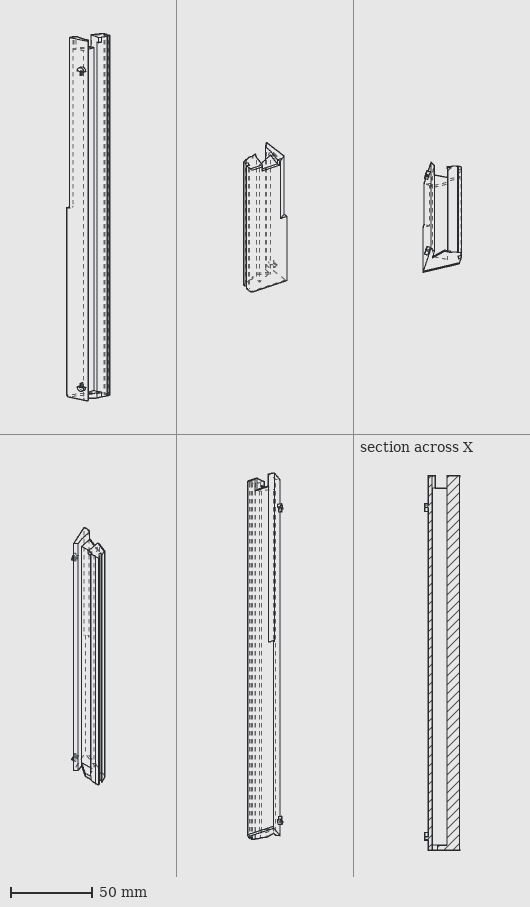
import cadquery as cq

LENGTH = 230.7
WIDTH = 19.1
BODY_DEPTH = 19.5

WEB_TOP_X = 12.0
WEB_SLOPE = WEB_TOP_X / BODY_DEPTH

WALL_FALL = 0.26
PLATE_WALL_Y = 4.8
FLANGE_WALL_Y = 13.1
WEB_INNER_PLATE_X = 10.8
WEB_INNER_FLANGE_X = 12.0
PLATE_WIDTH = 16.4
PLATE_SHOULDER = (15.0, 2.5)
FLANGE_END_X = 14.8

FLANGE_NOSE_MID = (17.5, 12.7)
FLANGE_NOSE_END = (18.7, 16.4)
LIP_BOTTOM = (WIDTH, 16.8)
LIP_TOP = (WIDTH, 19.0)
BACK_GROOVE = [(18.0, 19.0), (16.4, 17.5), (15.0, 18.2), (16.4, BODY_DEPTH)]
BACK_CORNER_RADIUS = 1.0

SLOT_DEPTH = 7.5
EDGE_CHAMFER = 1.0
TAB_HEIGHT = 3.2
TAB_TIP = (16.8, 10.2)
CAP_HEIGHT = 3.2
CAP_CORNER = (17.0, 8.5)

RELIEF_X = 2.2
RELIEF_START_Z = 121.3

PEG_X = 12.2
PEG_RADIUS = 2.5
PEG_HEIGHT = 2.0
PEG_RIB_WIDTH = 0.7
LOWER_PEG_Z = 8.5
UPPER_PEG_Z = 211.0


def web_x(y):
    """X of the slanted outer face at a given Y."""
    return WEB_SLOPE * y


def wall_point(wall_y, x):
    """Point on the inner wall that meets the slanted face at wall_y."""
    return (x, wall_y - WALL_FALL * (x - web_x(wall_y)))


def prism(points, bottom, height):
    return cq.Workplane("XY").workplane(offset=bottom).polyline(points).close().extrude(height)


plate_root = wall_point(PLATE_WALL_Y, WEB_INNER_PLATE_X)
flange_root = wall_point(FLANGE_WALL_Y, WEB_INNER_FLANGE_X)
flange_end = wall_point(FLANGE_WALL_Y, FLANGE_END_X)


def make_channel():
    outline = [(0, 0), (PLATE_WIDTH, 0), PLATE_SHOULDER, plate_root, flange_root, flange_end]
    profile = (
        cq.Workplane("XY")
        .polyline(outline)
        .threePointArc(FLANGE_NOSE_MID, FLANGE_NOSE_END)
        .lineTo(*LIP_BOTTOM)
        .lineTo(*LIP_TOP)
        .polyline(BACK_GROOVE, includeCurrent=True)
        .lineTo(WEB_TOP_X, BODY_DEPTH)
        .close()
    )
    return profile.extrude(LENGTH)


def round_back_corner(body):
    """Round the long back edge of the slanted face."""
    back_edge = cq.selectors.NearestToPointSelector((WEB_TOP_X, BODY_DEPTH, LENGTH / 2))
    return body.edges(back_edge).fillet(BACK_CORNER_RADIUS)


def make_slot():
    """Opening through the web at the top, flush with both channel walls."""
    outline = [
        (web_x(PLATE_WALL_Y), PLATE_WALL_Y),
        plate_root,
        flange_root,
        (web_x(FLANGE_WALL_Y), FLANGE_WALL_Y),
    ]
    return prism(outline, LENGTH - SLOT_DEPTH, SLOT_DEPTH)


def chamfer_slanted_face(body):
    """Bevel the end edges and slot rim of the slanted face, but not its long sides."""
    normal = cq.Vector(-BODY_DEPTH, WEB_TOP_X, 0).normalized()
    edges = body.faces(cq.selectors.DirectionMinMaxSelector(normal)).edges()
    short = edges.filter(lambda edge: edge.Length() < LENGTH / 2)
    return short.chamfer(EDGE_CHAMFER)


def make_tab():
    """Hook on the free end of the flange at the top."""
    outline = [flange_end, TAB_TIP, FLANGE_NOSE_MID]
    return prism(outline, LENGTH - TAB_HEIGHT, TAB_HEIGHT)


def make_end_cap():
    """Web that partly closes the channel at the bottom."""
    outline = [plate_root, CAP_CORNER, FLANGE_NOSE_MID, flange_end, flange_root]
    return prism(outline, 0, CAP_HEIGHT)


def make_relief():
    height = LENGTH - RELIEF_START_Z
    block = cq.Workplane("XY").box(RELIEF_X, BODY_DEPTH, height, centered=False)
    return block.translate((0, 0, RELIEF_START_Z))


def make_peg(z, outward):
    """Half disc facing its end of the part (outward = +1 or -1), with a rib toward the middle."""
    plane = cq.Workplane("XZ", origin=(PEG_X, 0, z))
    half_disc = (
        plane.moveTo(-PEG_RADIUS, 0)
        .threePointArc((0, outward * PEG_RADIUS), (PEG_RADIUS, 0))
        .close()
        .extrude(PEG_HEIGHT)
    )
    rib = plane.center(0, -outward * PEG_RADIUS / 2).rect(PEG_RIB_WIDTH, PEG_RADIUS).extrude(PEG_HEIGHT)
    return half_disc.union(rib)


body = chamfer_slanted_face(make_channel().cut(make_slot()))
body = round_back_corner(body).cut(make_relief())
body = body.union(make_tab()).union(make_end_cap())
for peg_z, outward in ((LOWER_PEG_Z, -1), (UPPER_PEG_Z, 1)):
    body = body.union(make_peg(peg_z, outward))

result = body